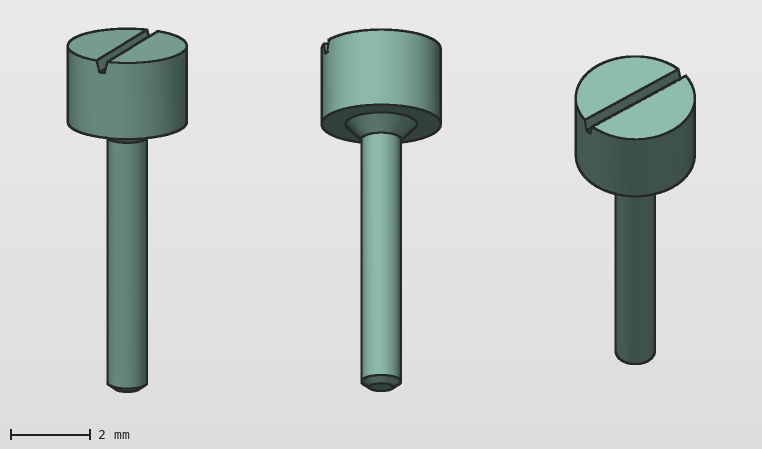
import cadquery as cq
import math

total_length = 9.0
head_diameter = 3.0
head_height = 2.0
shank_diameter = 1.0
neck_flare = 0.4
tip_height = 0.15
tip_inset = 0.2
slot_width = 0.3
slot_depth = 0.3
slot_wall_angle = 15.0

head_radius = head_diameter / 2
shank_radius = shank_diameter / 2
neck_radius = shank_radius + neck_flare
tip_radius = shank_radius - tip_inset
head_base_z = total_length - head_height
neck_base_z = head_base_z - neck_flare
slot_floor_z = total_length - slot_depth
slot_floor_width = slot_width - 2 * slot_depth * math.tan(math.radians(slot_wall_angle))


def make_pin():
    """Headed pin revolved about Z, with its chamfered tip at Z = 0."""
    return (
        cq.Workplane("XZ")
        .moveTo(0, 0)
        .lineTo(tip_radius, 0)
        .lineTo(shank_radius, tip_height)
        .lineTo(shank_radius, neck_base_z)
        .lineTo(neck_radius, head_base_z)
        .lineTo(head_radius, head_base_z)
        .lineTo(head_radius, total_length)
        .lineTo(0, total_length)
        .close()
        .revolve(360, (0, 0, 0), (0, 1, 0))
    )


def make_slot():
    """Tapered screwdriver slot running along Y across the whole head."""
    return (
        cq.Workplane("XZ")
        .moveTo(-slot_width / 2, total_length)
        .lineTo(-slot_floor_width / 2, slot_floor_z)
        .lineTo(slot_floor_width / 2, slot_floor_z)
        .lineTo(slot_width / 2, total_length)
        .close()
        .extrude(head_diameter, both=True)
    )


result = make_pin().cut(make_slot())